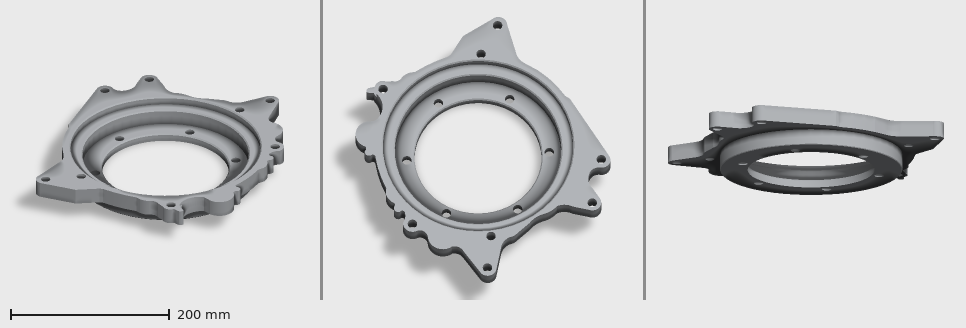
import cadquery as cq

total_height = 40.0
plate_thickness = 20.2
boss_height = total_height - plate_thickness
step_depth = 10.0
floor_thickness = 10.0

boss_diameter = 230.0
step_diameter = 240.0
recess_diameter = 210.0
bore_diameter = 160.0
edge_chamfer = 1.5
boss_chamfer = 1.0

hole_diameter = 12.0
floor_hole_count = 6
floor_hole_circle = 179.7
plate_holes = [
    (-118.2, 102.5),
    (-75.0, 147.0),
    (86.0, 150.0),
    (57.5, 115.5),
    (130.2, 46.0),
    (55.3, -132.5),
    (-75.0, -105.5),
    (-114.5, -127.5),
]

outline_start = (-133.0, 9.2)
outline_edges = [
    ((-129.2, 103.0),),
    ((-126.5, 110.5), (-111.2, 111.8)),
    ((-101.5, 108.2), (-94.0, 111.2)),
    ((-88.5, 117.3), (-86.5, 130.8)),
    ((-86.2, 148.8),),
    ((-78.0, 157.7), (-66.3, 153.7)),
    ((-51.0, 137.5),),
    ((-44.0, 130.0), (-35.5, 126.5)),
    ((-22.0, 127.7), (-13.5, 126.0)),
    ((0.0, 125.3), (7.0, 127.0)),
    ((27.5, 130.5),),
    ((33.0, 131.0), (38.5, 130.0)),
    ((45.8, 130.2), (56.2, 136.3)),
    ((78.5, 159.0),),
    ((90.7, 160.5), (97.0, 152.5)),
    ((98.0, 112.5),),
    ((100.8, 104.5), (106.3, 100.5)),
    ((122.5, 93.2), (124.5, 72.5)),
    ((124.0, 63.0), (130.2, 57.7)),
    ((141.5, 47.0), (139.3, 38.5)),
    ((133.2, 34.2), (129.0, 27.0)),
    ((130.0, 24.0), (133.8, 23.2)),
    ((138.0, 18.0), (133.8, 12.2)),
    ((133.0, 10.0), (134.0, 7.0)),
    ((135.7, -0.3), (134.5, -7.5)),
    ((129.5, -14.0),),
    ((124.7, -36.7), (116.7, -57.7)),
    ((116.0, -61.0), (118.5, -63.2)),
    ((124.5, -67.0), (122.8, -72.7)),
    ((119.2, -75.5), (120.5, -79.7)),
    ((117.3, -101.5), (98.0, -106.0)),
    ((93.2, -103.3), (88.3, -101.0)),
    ((73.5, -111.8), (68.7, -131.7)),
    ((68.0, -134.0),),
    ((75.0, -139.5),),
    ((73.5, -142.7), (70.0, -144.2)),
    ((64.2, -141.8),),
    ((62.3, -141.5), (60.5, -142.5)),
    ((55.0, -144.2), (47.0, -140.2)),
    ((38.5, -134.7),),
    ((31.2, -131.7), (27.0, -133.0)),
    ((20.5, -134.0), (13.7, -133.0)),
    ((8.2, -130.5),),
    ((-18.3, -129.0), (-38.5, -125.3)),
    ((-42.8, -126.0),),
    ((-70.0, -139.0),),
    ((-118.0, -138.5),),
    ((-126.2, -131.0), (-125.3, -121.5)),
    ((-113.0, -84.0),),
    ((-111.0, -74.2), (-113.7, -63.2)),
    ((-121.5, -46.5),),
    ((-128.0, -23.2), (-130.2, 2.7)),
]

notch_start = (88.3, -101.0)
notch_top_middle = (69.0, -113.0)
notch_top_end = (66.0, -131.5)
notch_bottom_middle = (73.5, -111.8)
notch_bottom_end = (68.7, -131.7)


def make_plate():
    """Cast outline extruded above the boss."""
    outline = cq.Workplane("XY").workplane(offset=boss_height).moveTo(*outline_start)
    for points in outline_edges:
        if len(points) == 1:
            outline = outline.lineTo(*points[0])
        else:
            outline = outline.threePointArc(*points)
    return outline.close().extrude(plate_thickness)


def make_boss():
    """Round boss with a broken lower edge, reaching up to the step ledge."""
    ledge_height = total_height - step_depth
    boss = cq.Workplane("XY").circle(boss_diameter / 2).extrude(ledge_height)
    return boss.faces("<Z").chamfer(boss_chamfer)


def chamfered_bore(diameter, bottom, top):
    """Cutter for a bore with a chamfer around its upper rim."""
    radius = diameter / 2
    profile = [
        (0, bottom),
        (radius, bottom),
        (radius, top - edge_chamfer),
        (radius + edge_chamfer, top),
        (0, top),
    ]
    return cq.Workplane("XZ").polyline(profile).close().revolve(360, (0, 0), (0, 1))


def make_notch():
    """Cutter that leans the notch wall back towards the top face."""
    notch = cq.Workplane("XY").workplane(offset=boss_height)
    notch = notch.moveTo(*notch_start).threePointArc(notch_bottom_middle, notch_bottom_end).close()
    notch = notch.workplane(offset=plate_thickness)
    notch = notch.moveTo(*notch_start).threePointArc(notch_top_middle, notch_top_end)
    notch = notch.close()
    return notch.loft(ruled=True)


def make_holes():
    """Cutters for the plate holes and the ring of holes in the floor."""
    holes = cq.Workplane("XY").pushPoints(plate_holes).circle(hole_diameter / 2).extrude(total_height)
    floor_holes = (
        cq.Workplane("XY")
        .polarArray(floor_hole_circle / 2, 90, 360, floor_hole_count)
        .circle(hole_diameter / 2)
        .extrude(total_height)
    )
    return holes.union(floor_holes)


body = make_plate().union(make_boss())
body = body.cut(chamfered_bore(step_diameter, total_height - step_depth, total_height))
body = body.cut(chamfered_bore(recess_diameter, floor_thickness, total_height - step_depth))
body = body.cut(chamfered_bore(bore_diameter, 0, floor_thickness))
result = body.cut(make_notch()).cut(make_holes())